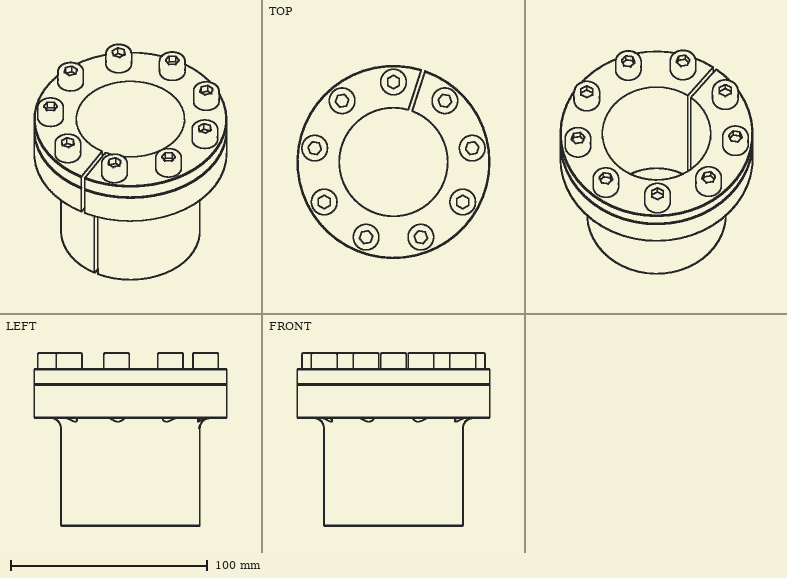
import cadquery as cq
import math

flange_radius = 49.0
sleeve_radius = 35.4
bore_radius = 27.5
sleeve_length = 49.7
neck_fillet = 5.3
lower_ring_height = 17.0
upper_ring_height = 8.0
edge_chamfer = 0.4

slit_width = 2.0
slit_angle = -18.0

screw_count = 9
screw_circle_radius = 40.6
screw_head_diameter = 13.0
screw_head_height = 8.0
screw_head_fillet = 0.8
screw_hole_diameter = 8.0
socket_across_flats = 6.0
socket_depth = 4.0

lower_ring_bottom = sleeve_length + neck_fillet
ring_joint = lower_ring_bottom + lower_ring_height
upper_ring_top = ring_joint + upper_ring_height
screw_top = upper_ring_top + screw_head_height


def clamping_body():
    """Sleeve, neck fillet and the two flange rings, revolved as one section."""
    neck_mid_offset = neck_fillet * (1 - math.cos(math.radians(45)))
    chamfered_radius = flange_radius - edge_chamfer
    section = (
        cq.Workplane("XZ")
        .moveTo(bore_radius, 0)
        .lineTo(sleeve_radius - edge_chamfer, 0)
        .lineTo(sleeve_radius, edge_chamfer)
        .lineTo(sleeve_radius, sleeve_length)
        .threePointArc(
            (sleeve_radius + neck_mid_offset, lower_ring_bottom - neck_mid_offset),
            (sleeve_radius + neck_fillet, lower_ring_bottom),
        )
        .lineTo(chamfered_radius, lower_ring_bottom)
        .lineTo(flange_radius, lower_ring_bottom + edge_chamfer)
        .lineTo(flange_radius, ring_joint - edge_chamfer)
        .lineTo(chamfered_radius, ring_joint)
        .lineTo(flange_radius, ring_joint + edge_chamfer)
        .lineTo(flange_radius, upper_ring_top - edge_chamfer)
        .lineTo(chamfered_radius, upper_ring_top)
        .lineTo(bore_radius, upper_ring_top)
        .close()
    )
    return section.revolve(360, (0, 0, 0), (0, 1, 0))


def at_screws(feature):
    """Copies of a feature modelled at the +Y screw, turned to every screw position."""
    pitch = 360 / screw_count
    copies = cq.Workplane("XY")
    for index in range(screw_count):
        copies = copies.add(feature.rotate((0, 0, 0), (0, 0, 1), index * pitch))
    return copies.combine()


def screw_head():
    """Socket head with a rounded rim and a hexagon socket, one corner facing outwards."""
    head = (
        cq.Workplane("XY", origin=(0, screw_circle_radius, upper_ring_top))
        .circle(screw_head_diameter / 2)
        .extrude(screw_head_height)
        .faces(">Z")
        .fillet(screw_head_fillet)
    )
    across_corners = socket_across_flats / math.cos(math.radians(30))
    socket = (
        cq.Workplane("XY", origin=(0, screw_circle_radius, screw_top))
        .transformed(rotate=(0, 0, 90))
        .polygon(6, across_corners)
        .extrude(-socket_depth)
    )
    return head.cut(socket)


def neck_relief():
    """Screw hole running out through the neck fillet; the screw ends flush with the ring."""
    return (
        cq.Workplane("XY", origin=(0, screw_circle_radius, sleeve_length))
        .circle(screw_hole_diameter / 2)
        .extrude(neck_fillet)
    )


def slit():
    """Radial slot through the whole height on one side of the bore."""
    return (
        cq.Workplane("XY")
        .rect(slit_width, 2 * flange_radius)
        .extrude(upper_ring_top)
        .translate((0, flange_radius, 0))
        .rotate((0, 0, 0), (0, 0, 1), slit_angle)
    )


result = (
    clamping_body()
    .cut(at_screws(neck_relief()))
    .cut(slit())
    .union(at_screws(screw_head()))
)